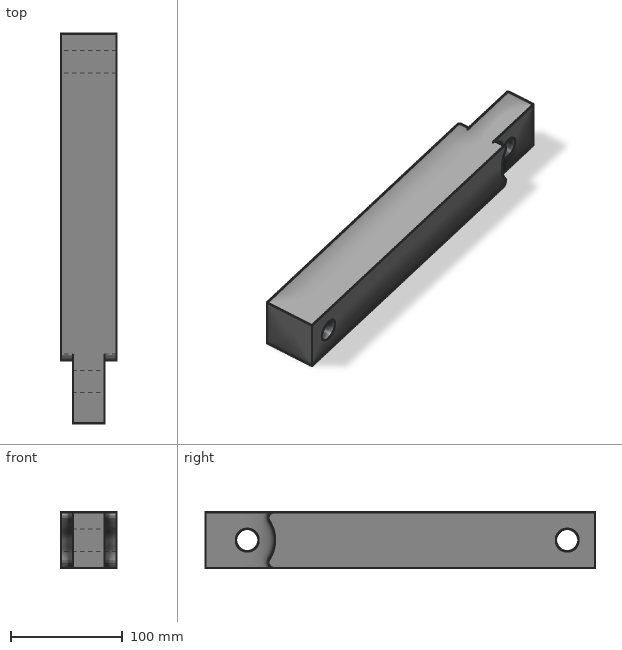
import cadquery as cq
import math

LENGTH = 348.9
WIDTH = 50.0
HEIGHT = 50.0

TONGUE_WIDTH = 28.5
SHOULDER_DEPTH = (WIDTH - TONGUE_WIDTH) / 2

HOLE_DIAMETER = 20.0
TAIL_HOLE_FROM_END = 25.0
TONGUE_HOLE_FROM_END = 37.5

ROUND_RADIUS = 5.0
ROUND_START = 61.3
HOLLOW_BOTTOM = 62.4
HOLLOW_HALF_HEIGHT = 17.3

HALF_HEIGHT = HEIGHT / 2
TONGUE_END = -LENGTH / 2
TAIL_END = LENGTH / 2


def make_shoulder_cut(side):
    """Waste beside the tongue: rounded shoulder corners joined by a shallow hollow."""
    start_y = TONGUE_END + ROUND_START
    tip_y = start_y - ROUND_RADIUS
    round_center_z = HALF_HEIGHT - ROUND_RADIUS
    drop = round_center_z - HOLLOW_HALF_HEIGHT
    corner_y = start_y - math.sqrt(ROUND_RADIUS**2 - drop**2)
    hollow_y = TONGUE_END + HOLLOW_BOTTOM

    profile = (
        cq.Workplane("YZ")
        .moveTo(TONGUE_END, -HALF_HEIGHT)
        .lineTo(start_y, -HALF_HEIGHT)
        .threePointArc((tip_y, -round_center_z), (corner_y, -HOLLOW_HALF_HEIGHT))
        .threePointArc((hollow_y, 0), (corner_y, HOLLOW_HALF_HEIGHT))
        .threePointArc((tip_y, round_center_z), (start_y, HALF_HEIGHT))
        .lineTo(TONGUE_END, HALF_HEIGHT)
        .close()
    )
    inner_x = TONGUE_WIDTH / 2
    return profile.extrude(side * SHOULDER_DEPTH).translate((side * inner_x, 0, 0))


def make_cross_hole(y):
    """Round hole running across the bar at mid-height."""
    return cq.Workplane("YZ").center(y, 0).circle(HOLE_DIAMETER / 2).extrude(WIDTH / 2, both=True)


result = cq.Workplane("XY").box(WIDTH, LENGTH, HEIGHT)

for side in (-1, 1):
    result = result.cut(make_shoulder_cut(side))

for hole_y in (TONGUE_END + TONGUE_HOLE_FROM_END, TAIL_END - TAIL_HOLE_FROM_END):
    result = result.cut(make_cross_hole(hole_y))